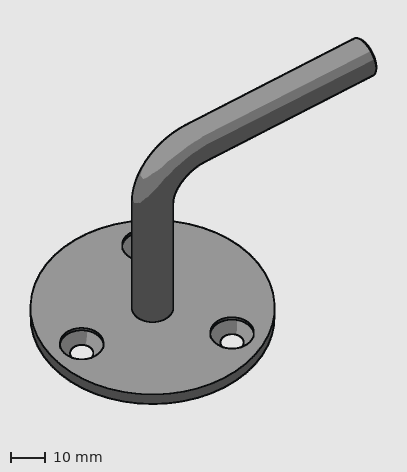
import cadquery as cq
import math

PLATE_DIAMETER = 70.0
PLATE_THICKNESS = 4.0

HOLE_COUNT = 3
HOLE_CIRCLE_RADIUS = 25.0
HOLE_DIAMETER = 6.6
SINK_DIAMETER = 12.5
SINK_RIM_DEPTH = 1.0
FIRST_HOLE_ANGLE = -90.0

ROD_DIAMETER = 12.0
BEND_RADIUS = 15.0
OVERALL_HEIGHT = 68.0
OVERALL_LENGTH = 110.0
TIP_CHAMFER = 0.5

ROD_RADIUS = ROD_DIAMETER / 2
ARM_HEIGHT = OVERALL_HEIGHT - ROD_RADIUS
ARM_END = OVERALL_LENGTH - PLATE_DIAMETER / 2


def make_screw_hole():
    """Cutter for one screw hole: short straight rim, then a cone narrowing down to the base."""
    hole_radius = HOLE_DIAMETER / 2
    sink_radius = SINK_DIAMETER / 2
    rim_bottom = PLATE_THICKNESS - SINK_RIM_DEPTH
    return (
        cq.Workplane("XZ")
        .moveTo(0, 0)
        .lineTo(hole_radius, 0)
        .lineTo(sink_radius, rim_bottom)
        .lineTo(sink_radius, PLATE_THICKNESS)
        .lineTo(0, PLATE_THICKNESS)
        .close()
        .revolve(360, (0, 0, 0), (0, 1, 0))
    )


def make_plate():
    """Round plate resting on Z = 0, with evenly spaced screw holes."""
    plate = cq.Workplane("XY").circle(PLATE_DIAMETER / 2).extrude(PLATE_THICKNESS)
    for index in range(HOLE_COUNT):
        angle = math.radians(FIRST_HOLE_ANGLE + index * 360 / HOLE_COUNT)
        place = (HOLE_CIRCLE_RADIUS * math.cos(angle), HOLE_CIRCLE_RADIUS * math.sin(angle), 0)
        plate = plate.cut(make_screw_hole().translate(place))
    return plate


def make_rod():
    """Round rod rising from the plate and bending to a level arm along +Y."""
    bend_start = ARM_HEIGHT - BEND_RADIUS
    path = (
        cq.Workplane("YZ")
        .moveTo(0, PLATE_THICKNESS)
        .lineTo(0, bend_start)
        .radiusArc((BEND_RADIUS, ARM_HEIGHT), BEND_RADIUS)
        .lineTo(ARM_END, ARM_HEIGHT)
    )
    rod = cq.Workplane("XY", origin=(0, 0, PLATE_THICKNESS)).circle(ROD_RADIUS).sweep(path)
    return rod.faces(">Y").chamfer(TIP_CHAMFER)


plate = make_plate()
rod = make_rod()

result = cq.Compound.makeCompound([plate.val(), rod.val()])